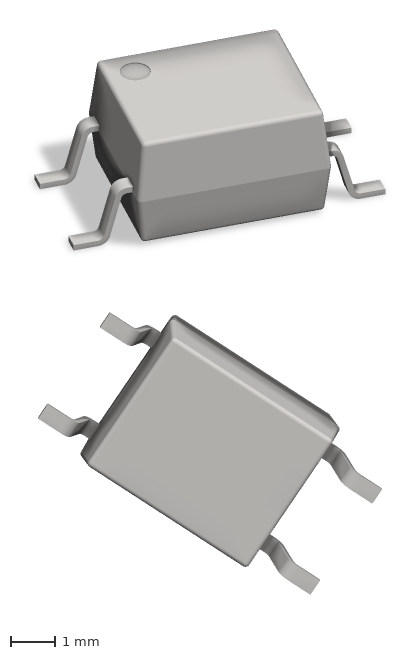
import cadquery as cq
import math

housing_width = 3.81
housing_length = 4.6
housing_bottom = 0.09
housing_top = 2.8
parting_height = 1.32
draft_angle = 6.0
edge_radius = 0.1

mark_diameter = 0.7
mark_depth = 0.03
mark_x = -1.05
mark_y = -1.44

lead_span = 7.4
lead_pitch = 2.54
lead_width = 0.39
lead_thickness = 0.15
inner_bend_radius = 0.15
outer_bend_radius = inner_bend_radius + lead_thickness
bend_angle = 75.0
shoulder_end = 2.43
shoulder_start = housing_length / 2 - lead_thickness


def make_housing_half(height):
    """Half with its large face on the parting plane, narrowing away from it."""
    half = (
        cq.Workplane("XY")
        .rect(housing_width, housing_length)
        .extrude(height, taper=draft_angle)
    )
    return half.edges("not <Z").fillet(edge_radius)


def make_housing():
    upper_half = make_housing_half(housing_top - parting_height)
    lower_half = make_housing_half(parting_height - housing_bottom).mirror("XY")
    body = upper_half.union(lower_half).translate((0, 0, parting_height))
    mark = (
        cq.Workplane("XY", origin=(mark_x, mark_y, housing_top - mark_depth))
        .circle(mark_diameter / 2)
        .extrude(mark_depth)
    )
    return body.cut(mark)


def arc_point(center, radius, angle):
    """Point on a bend, with the angle in degrees from the outward direction."""
    turn = math.radians(angle)
    return (center[0] + radius * math.cos(turn), center[1] + radius * math.sin(turn))


def make_lead(housing):
    """Lead on the +X, +Y corner, trimmed flush to the drafted housing face."""
    shoulder_top = parting_height + lead_thickness
    upper_center = (shoulder_end, parting_height - inner_bend_radius)
    lower_center_height = outer_bend_radius

    bend = math.radians(bend_angle)
    bend_radii = inner_bend_radius + outer_bend_radius
    leg_drop = upper_center[1] - lower_center_height + bend_radii * math.cos(bend)
    leg_run = leg_drop / math.tan(bend)
    foot_start = shoulder_end + bend_radii * math.sin(bend) + leg_run
    lower_center = (foot_start, lower_center_height)

    upper_end = 90 - bend_angle
    upper_middle = 90 - bend_angle / 2
    lower_start = upper_end + 180
    lower_middle = upper_middle + 180

    lead = (
        cq.Workplane("YZ", origin=(lead_pitch / 2, 0, 0))
        .moveTo(shoulder_start, shoulder_top)
        .lineTo(shoulder_end, shoulder_top)
        .threePointArc(
            arc_point(upper_center, outer_bend_radius, upper_middle),
            arc_point(upper_center, outer_bend_radius, upper_end),
        )
        .lineTo(*arc_point(lower_center, inner_bend_radius, lower_start))
        .threePointArc(
            arc_point(lower_center, inner_bend_radius, lower_middle),
            (foot_start, lead_thickness),
        )
        .lineTo(lead_span / 2, lead_thickness)
        .lineTo(lead_span / 2, 0)
        .lineTo(foot_start, 0)
        .threePointArc(
            arc_point(lower_center, outer_bend_radius, lower_middle),
            arc_point(lower_center, outer_bend_radius, lower_start),
        )
        .lineTo(*arc_point(upper_center, inner_bend_radius, upper_end))
        .threePointArc(
            arc_point(upper_center, inner_bend_radius, upper_middle),
            (shoulder_end, parting_height),
        )
        .lineTo(shoulder_start, parting_height)
        .close()
        .extrude(lead_width / 2, both=True)
    )
    return lead.cut(housing)


def make_leads(housing):
    """One lead at each end of the two rows, placed by mirroring."""
    right_lead = make_lead(housing)
    leads = []
    for row_lead in (right_lead, right_lead.mirror("YZ")):
        leads.append(row_lead)
        leads.append(row_lead.mirror("XZ"))
    return leads


housing = make_housing()
leads = make_leads(housing)

result = cq.Compound.makeCompound([housing.val(), *[lead.val() for lead in leads]])